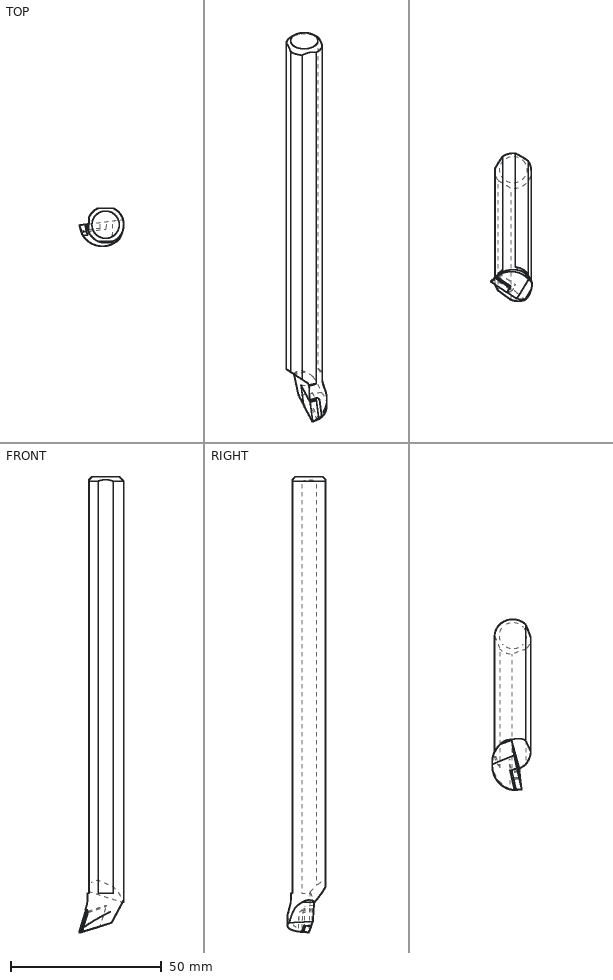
import cadquery as cq
import math

LENGTH = 151.2
SHANK_RADIUS = 6.0
ACROSS_FLATS = 11.0
FLAT_END_Z = 13.2
TOP_CHAMFER = 1.5

FLARE_ANGLE = 15.0
FLARE_Z = 10.1
FLARE_BLEND_RADIUS = 7.0
HEAD_DIAMETER = 15.3
HEAD_X = -1.0
HEAD_Y = 0.5
BACK_ANGLE = 62.0
BACK_Z = 10.9

RAKE_ANGLE = 7.5
RUNOUT_BASE_Z = 10.9
RUNOUT_SLOPE_X = -0.45
RUNOUT_SLOPE_Y = 1.0

TIP_X = -8.9
TIP_Y = -0.2
TIP_Z = -0.17
INSERT_EDGE = 7.4
INSERT_THICKNESS = 2.4
INSERT_RELIEF = 7.0
NOSE_RADIUS = 0.3
LOWER_EDGE_ANGLE = 18.0
INSERT_ANGLE = 55.0
LOWER_SETBACK = 0.23

OUTER_SETBACK = 0.08
POCKET_RUNOUT = 0.8
POCKET_DEPTH = 3.6
POCKET_CORNER_DIAMETER = 2.9

TOOL_SIZE = 60.5

rake_direction = cq.Vector(math.cos(math.radians(RAKE_ANGLE)), math.sin(math.radians(RAKE_ANGLE)), 0)
rake_normal = cq.Vector(-math.sin(math.radians(RAKE_ANGLE)), math.cos(math.radians(RAKE_ANGLE)), 0)
rake_plane = cq.Plane((TIP_X, TIP_Y, TIP_Z), -rake_direction, rake_normal)


def rake_point(distance, angle):
    """Point on the rake plane at a polar distance and angle from the tip."""
    turn = math.radians(angle)
    return (-distance * math.cos(turn), distance * math.sin(turn))


def half_space(plane):
    """Large block on the positive side of a plane."""
    return cq.Workplane(plane).rect(TOOL_SIZE, TOOL_SIZE).extrude(TOOL_SIZE)


def flank_plane(angle, outward, relief, setback):
    """Plane through a flank of the tip, leaning back with depth; local X runs along the edge."""
    turn = math.radians(angle)
    along = rake_direction * math.cos(turn) + cq.Vector(0, 0, math.sin(turn))
    side = along.cross(rake_normal) * outward
    lean = math.radians(relief)
    normal = side * math.cos(lean) - rake_normal * math.sin(lean)
    origin = cq.Vector(TIP_X, TIP_Y, TIP_Z) - side * setback
    return cq.Plane(origin, along, normal)


def make_shank():
    radius = SHANK_RADIUS
    shank = (
        cq.Workplane("XY", origin=(0, 0, FLARE_Z))
        .circle(radius)
        .extrude(LENGTH - FLARE_Z)
        .faces(">Z")
        .chamfer(TOP_CHAMFER)
    )
    for angle in (90, 180, 270):
        flat = (
            cq.Workplane("XY", origin=(0, 0, FLAT_END_Z))
            .center(ACROSS_FLATS / 2 + radius / 2, 0)
            .rect(radius, 2 * radius)
            .extrude(LENGTH)
            .rotate((0, 0, 0), (0, 0, 1), angle)
        )
        shank = shank.cut(flat)
    return shank


def make_head():
    """Flared cone under the shank, rounded into it and limited by the head cylinder."""
    flare = math.radians(FLARE_ANGLE)
    blend = FLARE_BLEND_RADIUS * math.tan(flare / 2)
    cone = (
        cq.Workplane("XZ")
        .moveTo(0, 0)
        .lineTo(SHANK_RADIUS + FLARE_Z * math.tan(flare), 0)
        .lineTo(SHANK_RADIUS + blend * math.sin(flare), FLARE_Z - blend * math.cos(flare))
        .radiusArc((SHANK_RADIUS, FLARE_Z + blend), FLARE_BLEND_RADIUS)
        .lineTo(SHANK_RADIUS, FLAT_END_Z)
        .lineTo(0, FLAT_END_Z)
        .close()
        .revolve(360, (0, 0, 0), (0, 1, 0))
    )
    limit = cq.Workplane("XY").center(HEAD_X, HEAD_Y).circle(HEAD_DIAMETER / 2).extrude(LENGTH)
    back = math.radians(BACK_ANGLE)
    back_plane = cq.Plane(
        (SHANK_RADIUS, 0, BACK_Z), (0, 1, 0), (math.sin(back), 0, -math.cos(back))
    )
    return cone.intersect(limit).cut(half_space(back_plane))


def make_chip_space():
    """Space in front of the rake face and below the sloping run-out."""
    runout = cq.Plane(
        (0, 0, RUNOUT_BASE_Z), (1, 0, RUNOUT_SLOPE_X), (RUNOUT_SLOPE_X, RUNOUT_SLOPE_Y, -1)
    )
    return half_space(rake_plane).intersect(half_space(runout))


def make_insert():
    upper_edge_angle = LOWER_EDGE_ANGLE + INSERT_ANGLE
    near = rake_point(INSERT_EDGE, LOWER_EDGE_ANGLE)
    high = rake_point(INSERT_EDGE, upper_edge_angle)
    far = (near[0] + high[0], near[1] + high[1])
    return (
        cq.Workplane(rake_plane)
        .polyline([(0, 0), near, far, high])
        .close()
        .extrude(-INSERT_THICKNESS, taper=INSERT_RELIEF)
        .edges(cq.selectors.NearestToPointSelector((TIP_X, TIP_Y - INSERT_THICKNESS / 2, TIP_Z)))
        .fillet(NOSE_RADIUS)
    )


def make_outer_pocket():
    """Space beyond the outer flank, with local Y pointing out of the rake face."""
    plane = flank_plane(LOWER_EDGE_ANGLE + INSERT_ANGLE, 1, INSERT_RELIEF, OUTER_SETBACK)
    top = INSERT_EDGE + POCKET_RUNOUT
    corner = POCKET_CORNER_DIAMETER / 2
    return (
        cq.Workplane(plane)
        .moveTo(-TOOL_SIZE, -POCKET_DEPTH)
        .lineTo(top - corner, -POCKET_DEPTH)
        .radiusArc((top, corner - POCKET_DEPTH), -corner)
        .lineTo(top, TOOL_SIZE)
        .lineTo(-TOOL_SIZE, TOOL_SIZE)
        .close()
        .extrude(TOOL_SIZE)
    )


def make_holder(insert):
    lower_flank = flank_plane(LOWER_EDGE_ANGLE, -1, 0, LOWER_SETBACK)
    return (
        make_shank()
        .union(make_head())
        .cut(make_chip_space())
        .cut(half_space(lower_flank))
        .cut(make_outer_pocket())
        .cut(insert)
    )


insert = make_insert()
holder = make_holder(insert)

result = cq.Compound.makeCompound([holder.val(), insert.val()])